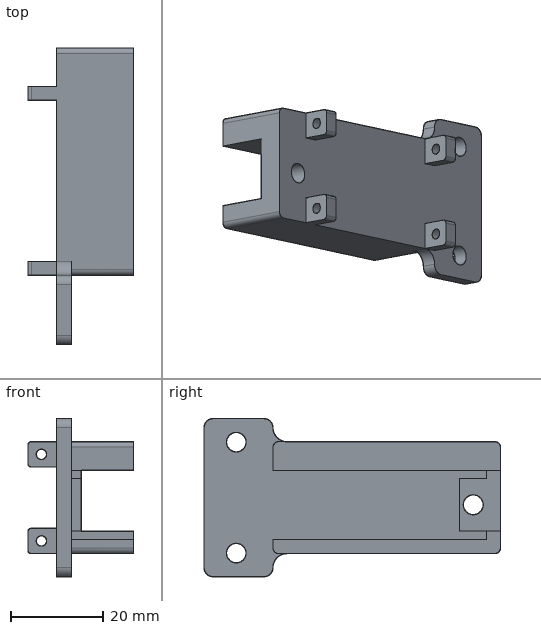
import cadquery as cq

overall_length = 64.4
flange_length = 15.0
flange_height = 34.4
plate_thickness = 3.35
flange_corner_radius = 2.0

body_length = overall_length - flange_length
body_height = 24.35
body_depth = 16.8
body_corner_radius = 1.2
upper_wall = 6.25
lower_wall = 3.1
end_wall = 3.1
blend_radius = (flange_height - body_height) / 2 - flange_corner_radius

pad_length = 8.95
pad_bottom = -7.3
pad_top = 4.2
pad_depth = 5.5
pad_hole_diameter = 4.25
pad_hole_setback = 5.9

flange_hole_diameter = 4.2
flange_hole_spacing = 24.1
flange_hole_setback = 7.0

tab_reach = 6.2
tab_width = 3.0
tab_height = 5.55
tab_edge_radius = 0.8
tab_hole_diameter = 2.2
tab_hole_reach = 3.2
first_tab_setback = 8.4

half_body = body_height / 2
half_flange = flange_height / 2
cavity_top = half_body - upper_wall
cavity_bottom = -half_body + lower_wall


def block(x_range, y_range, z_range):
    """Box spanning the given (low, high) ranges."""
    spans = [high - low for low, high in (x_range, y_range, z_range)]
    corner = (x_range[0], y_range[0], z_range[0])
    return cq.Workplane("XY").box(*spans, centered=False).translate(corner)


def x_hole(diameter, y, z):
    """Cutter along X through the full body depth."""
    return cq.Workplane("YZ").center(y, z).circle(diameter / 2).extrude(body_depth)


def channel_body():
    """Rounded block hollowed into a channel, open towards +X and -Y."""
    body = block((0, body_depth), (-body_length, 0), (-half_body, half_body))
    body = body.edges("|X").fillet(body_corner_radius)
    cavity = block(
        (plate_thickness, body_depth),
        (-body_length, -end_wall),
        (cavity_bottom, cavity_top),
    )
    end_opening = block((pad_depth, body_depth), (-end_wall, 0), (pad_bottom, cavity_top))
    return body.cut(cavity).cut(end_opening)


def flange_plate():
    """Wide mounting flange, blended into the sides of the body by concave arcs."""
    plate_x = (0, plate_thickness)
    flange = block(plate_x, (-overall_length, -body_length), (-half_flange, half_flange))
    flange = flange.edges("|X").fillet(flange_corner_radius)
    blend_end = -body_length + blend_radius
    blend_z = half_body + blend_radius
    neck = block(plate_x, (-body_length, blend_end), (-blend_z, blend_z))
    for z in (-blend_z, blend_z):
        neck = neck.cut(x_hole(2 * blend_radius, blend_end, z))
    return flange.union(neck)


def tab(y_high, z_mid):
    """Tab reaching towards -X, with rounded outer edges and a hole along Y."""
    half_height = tab_height / 2
    lug = block(
        (-tab_reach, 0),
        (y_high - tab_width, y_high),
        (z_mid - half_height, z_mid + half_height),
    )
    lug = lug.edges("<X and |Y").fillet(tab_edge_radius)
    hole = (
        cq.Workplane("XZ", origin=(0, y_high, 0))
        .center(-tab_hole_reach, z_mid)
        .circle(tab_hole_diameter / 2)
        .extrude(tab_width)
    )
    return lug.cut(hole)


pad = block((0, pad_depth), (-pad_length, 0), (pad_bottom, pad_top))
result = channel_body().union(flange_plate()).union(pad)

tab_z = (body_height - tab_height) / 2
for tab_y in (-first_tab_setback, -body_length + tab_width):
    for z in (-tab_z, tab_z):
        result = result.union(tab(tab_y, z))

result = result.cut(x_hole(pad_hole_diameter, -pad_hole_setback, (pad_bottom + pad_top) / 2))
for z in (-flange_hole_spacing / 2, flange_hole_spacing / 2):
    result = result.cut(x_hole(flange_hole_diameter, -overall_length + flange_hole_setback, z))